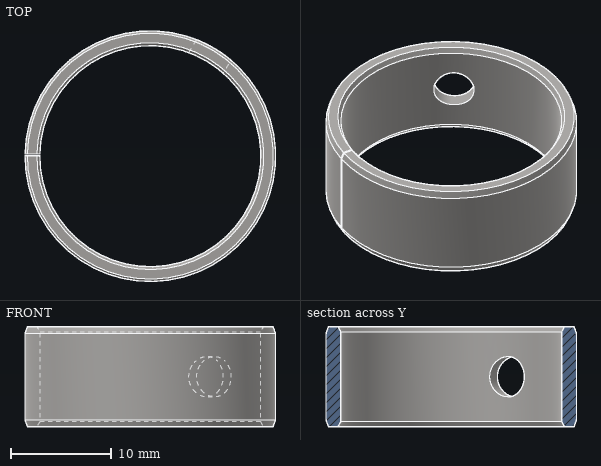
import cadquery as cq

outer_diameter = 25.0
inner_diameter = 22.0
height = 10.0

outer_bevel_height = 0.68
outer_bevel_width = 0.25
inner_bevel_height = 0.52
inner_bevel_width = 0.3

slit_width = 0.15
slit_offset = 0.12

hole_diameter = 4.0
hole_angle = 59.2

outer_radius = outer_diameter / 2
inner_radius = inner_diameter / 2


def make_ring():
    """Revolve the wall section, bevelled at all four corners, about Z."""
    section = (
        cq.Workplane("XZ")
        .moveTo(inner_radius + inner_bevel_width, 0)
        .lineTo(outer_radius - outer_bevel_width, 0)
        .lineTo(outer_radius, outer_bevel_height)
        .lineTo(outer_radius, height - outer_bevel_height)
        .lineTo(outer_radius - outer_bevel_width, height)
        .lineTo(inner_radius + inner_bevel_width, height)
        .lineTo(inner_radius, height - inner_bevel_height)
        .lineTo(inner_radius, inner_bevel_height)
        .close()
    )
    ring = section.revolve(360, (0, 0, 0), (0, 1, 0))
    return ring.rotate((0, 0, 0), (0, 0, 1), 180)


def make_slit():
    """Narrow full-height box reaching outward from the axis along -X."""
    slit = cq.Workplane("XY").box(outer_diameter, slit_width, height, centered=(True, True, False))
    return slit.translate((-outer_radius, slit_offset, 0))


def make_hole():
    """Cylinder running from the axis outward at mid-height."""
    hole = cq.Workplane("YZ").circle(hole_diameter / 2).extrude(outer_diameter)
    return hole.rotate((0, 0, 0), (0, 0, 1), hole_angle).translate((0, 0, height / 2))


result = make_ring().cut(make_slit()).cut(make_hole())